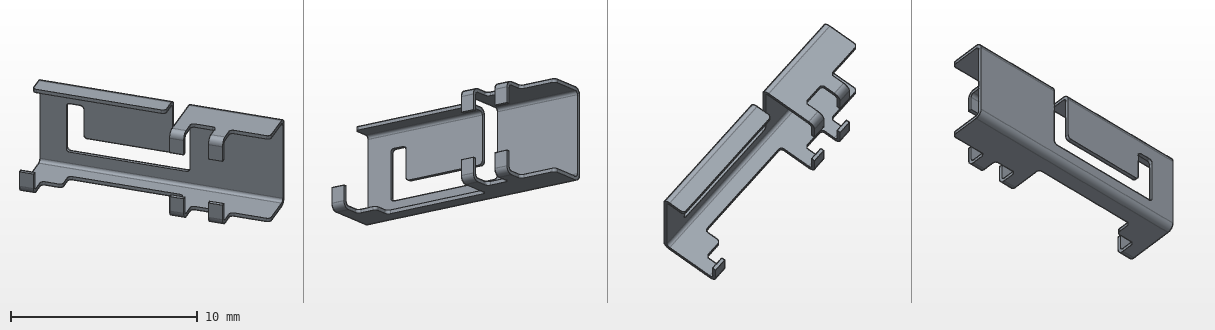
import cadquery as cq

length = 13.75
depth = 3.53
height = 5.22

sheet = 0.2
inner_bend = 0.19
outer_bend = inner_bend + sheet
corner_radius = 0.2

hook_width = 0.8
hook_rise = 1.28
right_section_start = 8.5
second_hook_start = 10.7
first_hook_end = right_section_start + hook_width
second_hook_end = second_hook_start + hook_width

wide_flange = 2.27
upper_left_flange = 1.38
lower_strip = 1.24
foot_width = 2.0

slot_width = 0.99
panel_end = right_section_start - slot_width
window_start = 1.5
panel_start = window_start + slot_width
window_bottom = 1.07
window_top = 4.02
panel_bottom = window_bottom + slot_width


def rounded_prism(workplane, points, thickness, sharp):
    """Extrude an outline and round every corner except those listed as sharp."""
    body = workplane.polyline(points).close().extrude(thickness)
    half_way = workplane.plane.zDir * (thickness / 2)
    for point in points:
        if point not in sharp:
            corner = workplane.plane.toWorldCoords(point) + half_way
            nearest = cq.selectors.NearestToPointSelector(corner.toTuple())
            body = body.edges(nearest).fillet(corner_radius)
    return body


def channel():
    """Full-length C channel with both lips turned inward along the open front."""
    outer = cq.Workplane("XY").box(length, depth, height, centered=False)
    outer = outer.edges("|X").fillet(outer_bend)
    cavity = cq.Workplane("XY", origin=(0, sheet, sheet))
    cavity = cavity.box(length, depth - 2 * sheet, height - 2 * sheet, centered=False)
    cavity = cavity.edges("|X").fillet(inner_bend)
    mouth = cq.Workplane("XY", origin=(0, 0, hook_rise))
    mouth = mouth.box(length, outer_bend, height - 2 * hook_rise, centered=False)
    return outer.cut(cavity).cut(mouth).translate((0, -depth, 0))


right_front_edge = [
    (right_section_start, -depth),
    (first_hook_end, -depth),
    (first_hook_end, -wide_flange),
    (second_hook_start, -wide_flange),
    (second_hook_start, -depth),
    (second_hook_end, -depth),
    (second_hook_end, -wide_flange),
    (length, -wide_flange),
    (length, 0),
]
hook_tips = [point for point in right_front_edge if point[1] == -depth]


def upper_blank():
    """Plan shape of the upper half: a short left flange, a gap and the hooked right flange."""
    plane = cq.Workplane("XY", origin=(0, 0, height / 2))
    back = [(0, 0), (panel_end, 0), (right_section_start, 0), (length, 0)]
    left_outline = [(0, 0), (0, -upper_left_flange), (panel_end, -upper_left_flange), (panel_end, 0)]
    right_outline = [(right_section_start, 0)] + right_front_edge
    left = rounded_prism(plane, left_outline, height / 2, back)
    right = rounded_prism(plane, right_outline, height / 2, back + hook_tips)
    return left.union(right)


def lower_blank():
    """Plan shape of the lower half: a hooked foot, a narrow strip and the hooked right flange."""
    foot_edge = [
        (0, -depth),
        (hook_width, -depth),
        (hook_width, -wide_flange),
        (foot_width, -wide_flange),
        (foot_width, -lower_strip),
        (right_section_start, -lower_strip),
    ]
    sharp = [(0, 0), (0, -depth), (hook_width, -depth), (length, 0)] + hook_tips
    return rounded_prism(cq.Workplane("XY"), [(0, 0)] + foot_edge + right_front_edge, height / 2, sharp)


def window():
    """L-shaped opening through the back wall, running out through the top edge beside the panel."""
    open_end = [(panel_end, height), (right_section_start, height)]
    outline = [
        (window_start, window_bottom),
        (window_start, window_top),
        (panel_start, window_top),
        (panel_start, panel_bottom),
        (panel_end, panel_bottom),
        *open_end,
        (right_section_start, window_bottom),
    ]
    return rounded_prism(cq.Workplane("XZ"), outline, outer_bend, open_end)


result = channel().intersect(upper_blank().union(lower_blank())).cut(window())